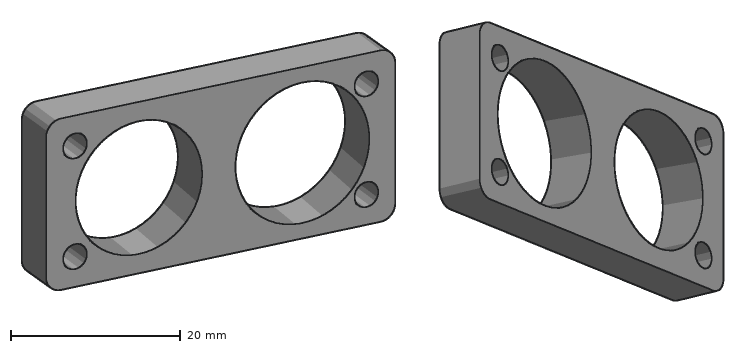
import cadquery as cq

thickness = 6.0
length = 47.0
height = 22.0
corner_radius = 2.0

opening_offset = 11.0
left_opening_diameter = 18.0
right_opening_diameter = 17.0

screw_hole_diameter = 3.2
screw_spacing_y = 39.2
screw_spacing_z = 14.2


def make_plate():
    """Flat plate centred on the origin, with rounded corners."""
    plate = cq.Workplane("XY").box(thickness, length, height)
    return plate.edges("|X").fillet(corner_radius)


def cut_opening(body, y, diameter):
    """Cut a round opening through the plate at mid height."""
    return body.cut(
        cq.Workplane("YZ").center(y, 0).circle(diameter / 2).extrude(thickness, both=True)
    )


def cut_screw_holes(body):
    """Cut the four screw holes through the plate."""
    pins = (
        cq.Workplane("YZ")
        .rect(screw_spacing_y, screw_spacing_z, forConstruction=True)
        .vertices()
        .circle(screw_hole_diameter / 2)
        .extrude(thickness, both=True)
    )
    return body.cut(pins)


plate = make_plate()
plate = cut_opening(plate, opening_offset, left_opening_diameter)
plate = cut_opening(plate, -opening_offset, right_opening_diameter)
result = cut_screw_holes(plate)